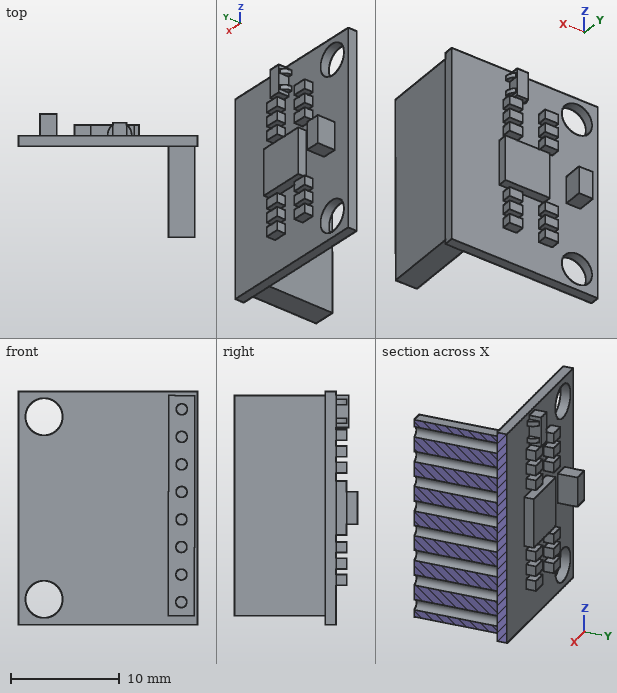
import cadquery as cq

board_width = 16.5
board_height = 21.5
board_thickness = 1.0

mount_hole_diameter = 3.4
mount_hole_x = -5.9
mount_hole_z = 8.4

pin_count = 8
pin_pitch = 2.54
pin_hole_diameter = 1.0
header_width = 2.4
header_depth = 8.36
header_height = pin_count * pin_pitch
header_x = 6.77
header_z = 0.22
header_lean = 0.15

tall_block_width = 1.57
tall_block_depth = 2.0
tall_block_height = 3.0
tall_block_x = -5.48

chip_side = 5.0
chip_depth = 0.97
chip_x = 0.37

small_part_width = 1.5
small_part_depth = 0.99
small_part_height = 1.0
small_part_columns = (-2.35, 1.68)
row_pitch = 1.5
upper_middle_row_z = 5.22
lower_middle_row_z = -5.12

disc_block_width = 1.27
disc_block_depth = 1.18
disc_block_height = 3.0
disc_block_x = 1.08
disc_block_z = 8.9
disc_radius = 1.1
disc_thickness = 0.47
disc_spacing = 1.72
disc_axis_y = disc_block_depth - disc_radius


def block_on_back(width, depth, height, x, z):
    """Box standing on the back face of the board, centred at x and z."""
    return cq.Workplane("XY").box(width, depth, height, centered=(True, False, True)).translate((x, 0, z))


def make_plate():
    plate = cq.Workplane("XY").box(board_width, board_thickness, board_height)
    plate = plate.translate((0, -board_thickness / 2, 0))
    mount_holes = (
        cq.Workplane("XZ")
        .pushPoints([(mount_hole_x, mount_hole_z), (mount_hole_x, -mount_hole_z)])
        .circle(mount_hole_diameter / 2)
        .extrude(board_thickness)
    )
    return plate.cut(mount_holes)


def make_small_parts():
    """Grid of small boxes above and below the chip."""
    parts = []
    for middle_row_z in (upper_middle_row_z, lower_middle_row_z):
        for step in (-1, 0, 1):
            z = middle_row_z + step * row_pitch
            for x in small_part_columns:
                parts.append(block_on_back(small_part_width, small_part_depth, small_part_height, x, z))
    return parts


def make_disc(z):
    """Disc with its axis along Z, keeping only the portion outside the board."""
    disc = cq.Workplane("XY").cylinder(disc_thickness, disc_radius)
    disc = disc.translate((disc_block_x, disc_axis_y, z))
    outside = block_on_back(2 * disc_radius, 2 * disc_radius, disc_thickness, disc_block_x, z)
    return disc.intersect(outside)


def make_disc_block():
    block = block_on_back(
        disc_block_width, disc_block_depth, disc_block_height, disc_block_x, disc_block_z
    )
    for side in (-1, 1):
        block = block.union(make_disc(disc_block_z + side * disc_spacing / 2))
    return block


def make_board():
    """Board plate with every part that stands on its back face, as one solid."""
    board = make_plate()
    board = board.union(
        block_on_back(tall_block_width, tall_block_depth, tall_block_height, tall_block_x, 0)
    )
    board = board.union(block_on_back(chip_side, chip_depth, chip_side, chip_x, 0))
    for part in make_small_parts():
        board = board.union(part)
    return board.union(make_disc_block())


def make_header():
    """Header bar with a row of pin holes running through to the board."""
    header = cq.Workplane("XZ").rect(header_width, header_height).extrude(header_depth)
    pin_holes = (
        cq.Workplane("XZ")
        .rarray(0.22, pin_pitch, 1, pin_count)
        .circle(pin_hole_diameter / 2)
        .extrude(header_depth)
    )
    header = header.cut(pin_holes)
    header = header.rotate((0, 0, 0), (0, 1, 0), header_lean)
    return header.translate((header_x, -board_thickness, header_z))


board = make_board()
header = make_header()

result = cq.Compound.makeCompound([board.solids().val(), header.solids().val()])